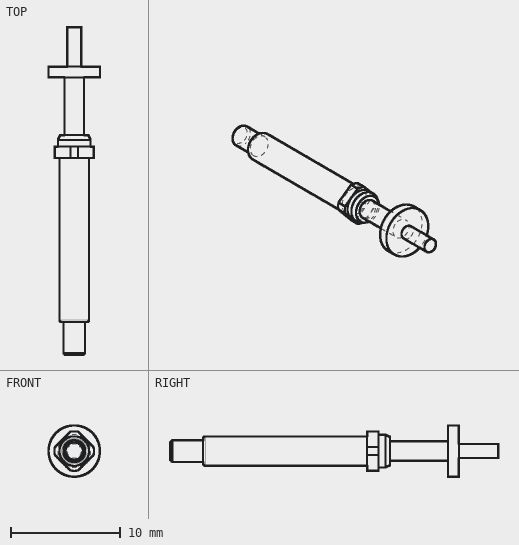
import cadquery as cq

overall_length = 29.9
rod_length = 3.6
flange_thickness = 1.0
neck_length = 5.25
collar_length = 1.05
nut_thickness = 1.05
tip_length = 3.0

rod_diameter = 1.3
flange_diameter = 4.7
neck_diameter = 1.8
collar_diameter = 3.0
barrel_diameter = 2.7
tip_diameter = 2.0

nut_across_flats = 3.0
nut_across_corners = 3.6
nut_rotation = 45

collar_chamfer_length = 0.45
collar_chamfer_depth = 0.2
tip_chamfer_length = 0.2
tip_chamfer_depth = 0.2

barrel_rim_radius = 0.2

collar_start = nut_thickness
neck_start = collar_start + collar_length
flange_start = neck_start + neck_length
rod_start = flange_start + flange_thickness
rod_end = rod_start + rod_length
tip_end = rod_end - overall_length
barrel_end = tip_end + tip_length


def cylinder(diameter, y_start, y_end):
    """Cylinder on the Y axis between two stations."""
    base = cq.Workplane("XZ", origin=(0, y_end, 0))
    return base.circle(diameter / 2).extrude(y_end - y_start)


def chamfered_cylinder(diameter, y_plain, y_chamfered, chamfer_length, chamfer_depth):
    """Cylinder on the Y axis with a chamfer at the y_chamfered end."""
    radius = diameter / 2
    direction = 1 if y_chamfered > y_plain else -1
    y_edge = y_chamfered - direction * chamfer_length
    profile = (
        cq.Workplane("XY")
        .moveTo(0, y_plain)
        .lineTo(radius, y_plain)
        .lineTo(radius, y_edge)
        .lineTo(radius - chamfer_depth, y_chamfered)
        .lineTo(0, y_chamfered)
        .close()
    )
    return profile.revolve(360, (0, 0, 0), (0, 1, 0))


def square_nut():
    """Square nut standing on its corners, which are rounded to a common circle."""
    square = (
        cq.Workplane("XZ", origin=(0, nut_thickness, 0))
        .rect(nut_across_flats, nut_across_flats)
        .extrude(nut_thickness)
        .rotate((0, 0, 0), (0, 1, 0), nut_rotation)
    )
    return square.intersect(cylinder(nut_across_corners, 0, nut_thickness))


rod = cylinder(rod_diameter, rod_start, rod_end)
flange = cylinder(flange_diameter, flange_start, rod_start)
neck = cylinder(neck_diameter, neck_start, flange_start)
collar = chamfered_cylinder(
    collar_diameter, collar_start, neck_start, collar_chamfer_length, collar_chamfer_depth
)
barrel = cylinder(barrel_diameter, barrel_end, 0).faces("<Y").edges().fillet(barrel_rim_radius)
tip = chamfered_cylinder(
    tip_diameter, barrel_end, tip_end, tip_chamfer_length, tip_chamfer_depth
)

result = rod
for section in (flange, neck, collar, square_nut(), barrel, tip):
    result = result.union(section)